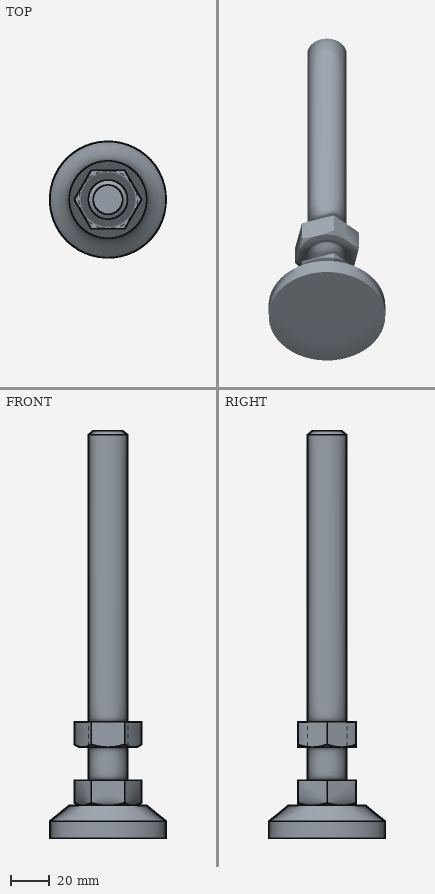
import cadquery as cq
import math

total_height = 210.0

foot_radius = 30.0
foot_rim_height = 8.8
foot_top_radius = 20.0
foot_height = 17.0

rod_radius = 10.0
rod_tip_radius = 7.5
rod_tip_chamfer_height = 2.0

hex_across_flats = 30.0
hex_height = 13.0
hex_chamfer_angle = 30.0
hex_corner_radius = hex_across_flats / math.sqrt(3)

nut_top = 60.0
nut_bottom = nut_top - hex_height


def make_hexagon(bottom):
    """Hexagonal prism with corners on the X axis and its lower corners chamfered."""
    prism = (
        cq.Workplane("XY")
        .workplane(offset=bottom)
        .polygon(6, 2 * hex_corner_radius)
        .extrude(hex_height)
    )
    flat_radius = hex_across_flats / 2
    chamfer_rise = (hex_corner_radius - flat_radius) * math.tan(math.radians(hex_chamfer_angle))
    chamfer_envelope = (
        cq.Workplane("XZ")
        .moveTo(0, bottom)
        .lineTo(flat_radius, bottom)
        .lineTo(hex_corner_radius, bottom + chamfer_rise)
        .lineTo(hex_corner_radius, bottom + hex_height)
        .lineTo(0, bottom + hex_height)
        .close()
        .revolve(360, (0, 0, 0), (0, 1, 0))
    )
    return prism.intersect(chamfer_envelope)


def make_foot():
    """Round foot with a conical shoulder and a flat top."""
    return (
        cq.Workplane("XZ")
        .lineTo(foot_radius, 0)
        .lineTo(foot_radius, foot_rim_height)
        .lineTo(foot_top_radius, foot_height)
        .lineTo(0, foot_height)
        .close()
        .revolve(360, (0, 0, 0), (0, 1, 0))
    )


def make_spindle():
    """Rod with a chamfered tip and an integral hexagon that rests on the foot."""
    rod = (
        cq.Workplane("XZ")
        .moveTo(0, foot_height)
        .lineTo(rod_radius, foot_height)
        .lineTo(rod_radius, total_height - rod_tip_chamfer_height)
        .lineTo(rod_tip_radius, total_height)
        .lineTo(0, total_height)
        .close()
        .revolve(360, (0, 0, 0), (0, 1, 0))
    )
    return rod.union(make_hexagon(foot_height))


def make_lock_nut():
    """Hexagonal nut bored to fit the rod."""
    bore = (
        cq.Workplane("XY")
        .workplane(offset=nut_bottom)
        .circle(rod_radius)
        .extrude(hex_height)
    )
    return make_hexagon(nut_bottom).cut(bore)


foot = make_foot()
spindle = make_spindle()
lock_nut = make_lock_nut()

result = cq.Compound.makeCompound([foot.val(), spindle.val(), lock_nut.val()])